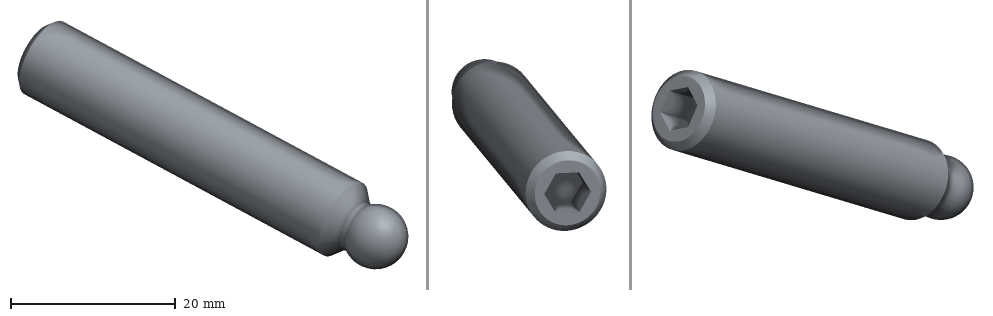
import cadquery as cq
import math

total_length = 55.0
shaft_radius = 10.0 / 2
end_chamfer = 0.95
neck_radius = 6.5 / 2
ball_radius = 8.0 / 2
neck_length = 0.75
socket_across_flats = 5.0
socket_depth = 5.0

ball_center = total_length - ball_radius
neck_end = ball_center - math.sqrt(ball_radius**2 - neck_radius**2)
neck_start = neck_end - neck_length
shoulder_start = neck_start - (shaft_radius - neck_radius)


def make_body():
    """Revolve the half outline of shaft, shoulder, neck and ball about X."""
    return (
        cq.Workplane("XY")
        .moveTo(0, 0)
        .lineTo(0, shaft_radius - end_chamfer)
        .lineTo(end_chamfer, shaft_radius)
        .lineTo(shoulder_start, shaft_radius)
        .lineTo(neck_start, neck_radius)
        .lineTo(neck_end, neck_radius)
        .threePointArc((ball_center, ball_radius), (total_length, 0))
        .close()
        .revolve(360, (0, 0, 0), (1, 0, 0))
    )


def make_socket():
    """Hexagonal key socket, with two of its corners on the Y axis."""
    across_corners = socket_across_flats / math.cos(math.pi / 6)
    return cq.Workplane("YZ").polygon(6, across_corners).extrude(socket_depth)


result = make_body().cut(make_socket())